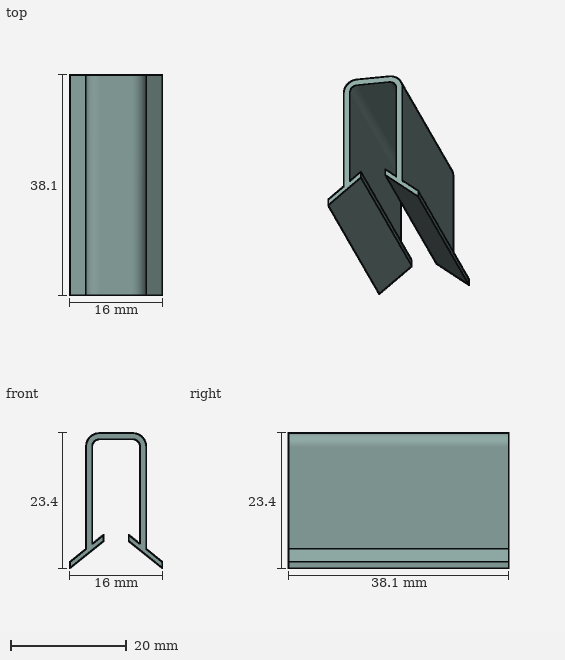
import cadquery as cq

length = 38.1
height = 23.4
overall_width = 16.0
channel_width = 10.45
wall = 1.1
outer_radius = 2.35
lip_gap = 4.35
lip_rise = 4.7
lip_edge_height = 1.1

half_channel = channel_width / 2
inner_half = half_channel - wall
lip_outer = overall_width / 2
lip_inner = lip_gap / 2
lip_slope = lip_rise / (lip_outer - lip_inner)


def lip_bottom(x):
    """Height of the sloping underside of a lip at distance x from the centre."""
    return (lip_outer - x) * lip_slope


def make_channel():
    """Inverted U whose legs end on the undersides of the lips."""
    inner_radius = outer_radius - wall
    leg_bottom = lip_bottom(inner_half)
    leg_height = height - leg_bottom
    cavity_height = leg_height - wall
    outside = (
        cq.Workplane("XY")
        .box(channel_width, length, leg_height, centered=(True, True, False))
        .edges("|Y and >Z")
        .fillet(outer_radius)
    )
    cavity = (
        cq.Workplane("XY")
        .box(2 * inner_half, length, cavity_height, centered=(True, True, False))
        .edges("|Y and >Z")
        .fillet(inner_radius)
    )
    return outside.cut(cavity).translate((0, 0, leg_bottom))


def make_lip(side):
    """Sloping lip crossing the foot of one leg; side is -1 or 1."""
    outline = [
        (side * lip_outer, 0),
        (side * lip_inner, lip_rise),
        (side * lip_inner, lip_rise + lip_edge_height),
        (side * lip_outer, lip_edge_height),
    ]
    return cq.Workplane("XZ").polyline(outline).close().extrude(length / 2, both=True)


result = make_channel()
for side in (-1, 1):
    result = result.union(make_lip(side))